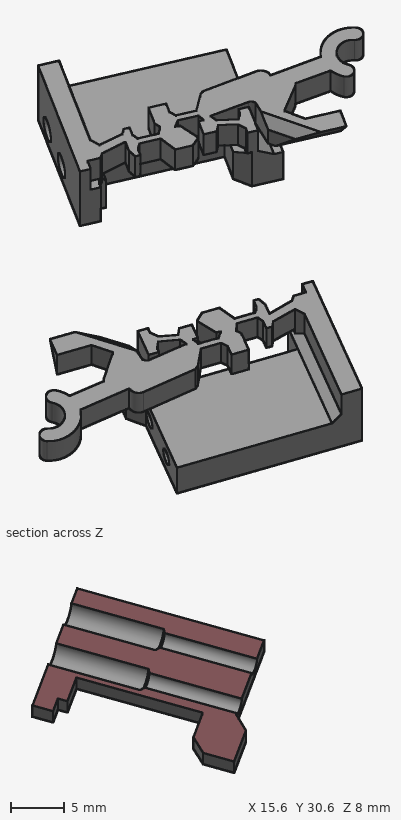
import cadquery as cq
import math

total_length = 30.55
frame_width = 13.65
finger_right = 15.58
total_height = 8.0
base_height = 3.97
layer_bottom = 4.98
layer_height = total_height - layer_bottom

wall_thickness = 2.08
wall_foot = 3.02
wall_web_end = 12.2
rail_width = 9.45
rail_length = 18.57
base_length = 20.05
end_bevel_start = 8.55
hook_front = 15.52
corner_cut_start = 12.28
corner_cut_end = 16.95

anchor_left = 10.63
anchor_front = 16.53
anchor_rear = 17.57
anchor_rear_foot = 19.12
anchor_rear_foot_top = 4.98
anchor_front_foot_top = 4.58
anchor_left_foot = 9.15
anchor_left_foot_top = 4.8

hole_positions = (3.0, 7.65)
hole_height = 2.02
bore_diameter = 2.4
bore_depth = 9.15
pilot_diameter = 1.62
bore_point_angle = 118.0
bore_point_length = ((bore_diameter - pilot_diameter) / 2
                     / math.tan(math.radians(bore_point_angle / 2)))

pocket_left = 12.62
pocket_front = 1.07

leaf_width = 0.65
upper_leaf_left = 9.65
lower_leaf_left = 11.33
lower_leaf_start = 6.4
lower_leaf_end = 8.45
upper_leaf_start = 10.65
upper_leaf_end = 12.68
upper_leaf_right = upper_leaf_left + leaf_width
lower_leaf_right = lower_leaf_left + leaf_width
link_right = 10.97

wall_leaf_front_left = (11.05, 2.72)
wall_leaf_front_right = (12.13, 2.65)
wall_leaf_rear_left = (10.4, 5.15)
wall_leaf_rear_right = (11.4, 5.15)
anchor_leaf_front_left = (11.33, 14.15)
anchor_leaf_front_right = (11.95, 14.15)

cradle_x = 7.05
cradle_inner_radius = 1.55
cradle_outer_radius = 3.1
cradle_mid_radius = (cradle_inner_radius + cradle_outer_radius) / 2
cradle_tip_radius = (cradle_outer_radius - cradle_inner_radius) / 2
cradle_left_angle = 158.0
cradle_right_angle = 327.0
cradle_y = (total_length - cradle_tip_radius
            - cradle_mid_radius * math.sin(math.radians(cradle_left_angle)))

finger_left = 13.55
finger_end = 25.7
finger_heel = (13.05, 18.73)
finger_elbow_y = 21.63
finger_chamfer = 1.0
finger_chamfer_overrun = 1.22
undercut_bottom_x = 13.55


def plate(points, bottom=layer_bottom):
    """Polygon in plan, raised from the given level to the top."""
    outline = cq.Workplane("XY").workplane(offset=bottom).polyline(points).close()
    return outline.extrude(total_height - bottom)


def make_frame():
    base = (
        cq.Workplane("XY")
        .polyline([
            (0, 0), (frame_width, 0), (frame_width, wall_thickness),
            (wall_web_end, wall_thickness), (wall_web_end, wall_foot),
            (rail_width, wall_foot), (rail_width, hook_front),
            (corner_cut_start, hook_front), (frame_width, corner_cut_end),
            (frame_width, base_length),
            (end_bevel_start + base_length - rail_length, base_length),
            (end_bevel_start, rail_length), (0, rail_length),
        ])
        .close()
        .extrude(base_height)
    )
    wall = cq.Workplane("XY").box(frame_width, wall_thickness, total_height, centered=False)
    web = (
        cq.Workplane("YZ")
        .polyline([(wall_thickness, base_height), (wall_foot, base_height),
                   (wall_thickness, layer_bottom)])
        .close()
        .extrude(wall_web_end)
    )
    return base.union(wall).union(web)


def make_anchor():
    side_profile = (
        cq.Workplane("YZ")
        .polyline([
            (hook_front, base_height), (anchor_front, anchor_front_foot_top),
            (anchor_front, total_height), (anchor_rear, total_height),
            (anchor_rear, anchor_rear_foot_top), (anchor_rear_foot, base_height),
        ])
        .close()
        .extrude(frame_width)
    )
    front_profile = (
        cq.Workplane("XZ")
        .polyline([
            (anchor_left_foot, base_height), (anchor_left, anchor_left_foot_top),
            (anchor_left, total_height), (frame_width, total_height),
            (frame_width, base_height),
        ])
        .close()
        .extrude(-total_length)
    )
    corner = (
        cq.Workplane("XY")
        .workplane(offset=base_height)
        .polyline([(corner_cut_start, hook_front), (frame_width, hook_front),
                   (frame_width, corner_cut_end)])
        .close()
        .extrude(layer_bottom - base_height)
    )
    return side_profile.intersect(front_profile).cut(corner)


def make_wall_root():
    """Tapered root of the first leaf, standing on the wall's web."""
    return plate([(10.23, wall_thickness), wall_leaf_front_left, wall_leaf_front_right,
                  (12.98, wall_thickness)], base_height)


def make_wall_leaf():
    return plate([wall_leaf_front_left, wall_leaf_rear_left,
                  wall_leaf_rear_right, wall_leaf_front_right])


def make_crossbar():
    return plate([
        wall_leaf_rear_left, (9.85, 5.47), (9.85, 6.05), (10.75, 6.05),
        (lower_leaf_left, lower_leaf_start), (lower_leaf_right, lower_leaf_start),
        (12.53, 6.05), (13.38, 6.05), (13.38, 5.53), (12.53, 5.15), wall_leaf_rear_right,
    ])


def make_middle_link():
    return plate([
        (8.0, lower_leaf_end), (8.0, 10.2), (9.07, 10.2),
        (upper_leaf_left, upper_leaf_start), (upper_leaf_right, upper_leaf_start),
        (link_right, 10.2), (link_right, upper_leaf_start), (12.9, 11.9),
        (frame_width, 11.12), (frame_width, 9.38), (lower_leaf_right, lower_leaf_end),
        (lower_leaf_left, lower_leaf_end), (10.57, 8.83), (10.05, lower_leaf_end),
    ])


def make_straight_leaf(left, start, end):
    return plate([(left, start), (left + leaf_width, start), (left + leaf_width, end), (left, end)])


def make_anchor_leaf():
    return plate([
        anchor_leaf_front_left, (11.82, 16.2), (11.15, anchor_front),
        (13.1, anchor_front), (12.4, 15.95), anchor_leaf_front_right,
    ])


def make_arm():
    outline = (
        cq.Workplane("XY")
        .workplane(offset=layer_bottom)
        .moveTo(upper_leaf_left, upper_leaf_end)
        .lineTo(7.82, 13.65)
        .lineTo(7.55, 13.95)
        .lineTo(6.63, 19.52)
        .threePointArc((6.85, 20.3), (7.5, 20.65))
        .lineTo(6.6, 26.27)
        .lineTo(8.5, 26.88)
        .lineTo(9.13, 22.6)
        .lineTo(9.4, 22.52)
        .lineTo(12.07, 20.62)
        .lineTo(finger_left, 22.25)
        .lineTo(finger_left, finger_end)
        .lineTo(finger_right, finger_end)
        .lineTo(finger_right, finger_elbow_y)
        .lineTo(*finger_heel)
        .lineTo(10.35, 18.3)
        .threePointArc((10.1, 18.05), (10.05, 17.7))
        .lineTo(10.65, 13.78)
        .lineTo(*anchor_leaf_front_left)
        .lineTo(*anchor_leaf_front_right)
        .lineTo(12.65, 13.78)
        .lineTo(12.65, 12.5)
        .lineTo(link_right, 12.5)
        .lineTo(link_right, 13.0)
        .lineTo(upper_leaf_right, upper_leaf_end)
        .close()
    )
    return outline.extrude(layer_height).cut(make_finger_undercut()).cut(make_finger_chamfer())


def make_finger_undercut():
    """Wedge that slopes the finger's right side inward toward its underside."""
    return (
        cq.Workplane("XZ")
        .polyline([(finger_right, total_height), (undercut_bottom_x, layer_bottom),
                   (finger_right, layer_bottom)])
        .close()
        .extrude(-total_length)
    )


def make_finger_chamfer():
    """45 degree wedge along the top edge of the finger's sloped side."""
    heel_x, heel_y = finger_heel
    run = finger_right - heel_x
    rise = finger_elbow_y - heel_y
    side_length = math.hypot(run, rise)
    across_heel = cq.Plane(
        origin=(heel_x, heel_y, total_height),
        xDir=(-rise, run, 0),
        normal=(run, rise, 0),
    )
    return (
        cq.Workplane(across_heel)
        .workplane(offset=-finger_chamfer_overrun)
        .polyline([(finger_chamfer, 0), (0, -finger_chamfer), (-finger_chamfer, -finger_chamfer),
                   (-finger_chamfer, 0)])
        .close()
        .extrude(side_length + 2 * finger_chamfer_overrun)
    )


def make_cradle():
    def at(radius, angle):
        turn = math.radians(angle)
        return cradle_x + radius * math.cos(turn), cradle_y + radius * math.sin(turn)

    mid_angle = (cradle_left_angle + cradle_right_angle) / 2
    ring = (
        cq.Workplane("XY")
        .workplane(offset=layer_bottom)
        .moveTo(*at(cradle_outer_radius, cradle_left_angle))
        .threePointArc(at(cradle_outer_radius, mid_angle), at(cradle_outer_radius, cradle_right_angle))
        .lineTo(*at(cradle_inner_radius, cradle_right_angle))
        .threePointArc(at(cradle_inner_radius, mid_angle), at(cradle_inner_radius, cradle_left_angle))
        .close()
        .extrude(layer_height)
    )
    tips = (
        cq.Workplane("XY")
        .workplane(offset=layer_bottom)
        .pushPoints([at(cradle_mid_radius, cradle_left_angle), at(cradle_mid_radius, cradle_right_angle)])
        .circle(cradle_tip_radius)
        .extrude(layer_height)
    )
    return ring.union(tips)


def make_hole(x):
    """Bore from the front wall, narrowing to a pilot hole that runs out at the rear."""
    half_profile = (
        cq.Workplane("XY", origin=(x, 0, hole_height))
        .polyline([
            (0, 0), (bore_diameter / 2, 0), (bore_diameter / 2, bore_depth),
            (pilot_diameter / 2, bore_depth + bore_point_length),
            (pilot_diameter / 2, base_length), (0, base_length),
        ])
        .close()
    )
    return half_profile.revolve(360, (0, 0, 0), (0, 1, 0))


def make_corner_pocket():
    return plate([(pocket_left, pocket_front), (frame_width, pocket_front),
                  (frame_width, wall_foot), (pocket_left, wall_foot)])


result = make_frame()
for piece in (
    make_wall_root(),
    make_wall_leaf(),
    make_crossbar(),
    make_straight_leaf(lower_leaf_left, lower_leaf_start, lower_leaf_end),
    make_middle_link(),
    make_straight_leaf(upper_leaf_left, upper_leaf_start, upper_leaf_end),
    make_arm(),
    make_anchor_leaf(),
    make_anchor(),
    make_cradle(),
):
    result = result.union(piece)

for hole_x in hole_positions:
    result = result.cut(make_hole(hole_x))
result = result.cut(make_corner_pocket())